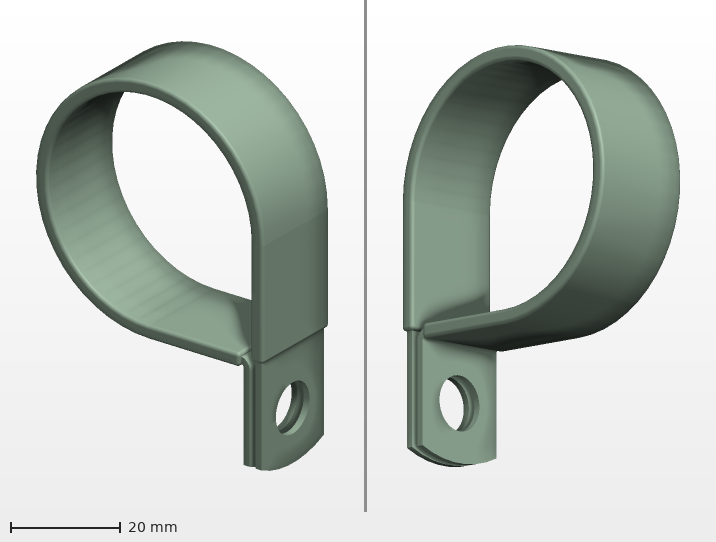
import cadquery as cq
import math

diagonal = math.sqrt(0.5)

strap_thickness = 1.3
cushion_wall = 0.7
cushion_width = 20.6
strap_width = cushion_width - 2 * cushion_wall
band_thickness = strap_thickness + 2 * cushion_wall

loop_outer_diameter = 51.6
loop_outer_radius = loop_outer_diameter / 2
loop_inner_radius = loop_outer_radius - band_thickness
strap_outer_radius = loop_outer_radius - cushion_wall
strap_inner_radius = strap_outer_radius - strap_thickness

cushion_end_x = 20.5
cushion_end_z = -23.85

overall_height = 73.4
tab_bottom_z = loop_outer_radius - overall_height
tab_gap = 1.4
bent_tab_outer_x = strap_inner_radius - tab_gap
bent_tab_inner_x = bent_tab_outer_x - strap_thickness
bend_inner_radius = 1.0
bend_outer_radius = bend_inner_radius + strap_thickness
tab_end_sagitta = 2.1
hole_diameter = 10.35
hole_z = -36.5
strap_overlap = 1.5


def extrude_across(sketch, width):
    """Extrude an XZ outline symmetrically about the Y = 0 plane."""
    return sketch.extrude(width / 2, both=True)


def make_cushioned_loop():
    """Three-quarter loop with two straight ends and rounded outside edges."""
    outline = (
        cq.Workplane("XZ")
        .moveTo(loop_outer_radius, cushion_end_z)
        .lineTo(loop_outer_radius, 0)
        .threePointArc((-loop_outer_radius * diagonal, loop_outer_radius * diagonal), (0, -loop_outer_radius))
        .lineTo(cushion_end_x, -loop_outer_radius)
        .lineTo(cushion_end_x, -loop_inner_radius)
        .lineTo(0, -loop_inner_radius)
        .threePointArc((-loop_inner_radius * diagonal, loop_inner_radius * diagonal), (loop_inner_radius, 0))
        .lineTo(loop_inner_radius, cushion_end_z)
        .close()
    )
    band = extrude_across(outline, cushion_width)
    side_edges = band.faces("<Y or >Y").edges()
    end_corners = band.edges("|Y").filter(is_end_corner)
    return side_edges.add(end_corners).fillet(cushion_wall)


def is_end_corner(edge):
    """True for the sharp corners of the two ends, false for the tangent seams."""
    center = edge.Center()
    at_bottom_end = abs(center.x - cushion_end_x) < cushion_wall / 2
    at_right_end = abs(center.z - cushion_end_z) < cushion_wall / 2
    return at_bottom_end or at_right_end


def make_straight_tab():
    """Strap leaving the vertical end of the cushion."""
    outline = (
        cq.Workplane("XZ")
        .moveTo(strap_inner_radius, cushion_end_z + strap_overlap)
        .lineTo(strap_outer_radius, cushion_end_z + strap_overlap)
        .lineTo(strap_outer_radius, tab_bottom_z)
        .lineTo(strap_inner_radius, tab_bottom_z)
        .close()
    )
    return extrude_across(outline, strap_width)


def make_bent_tab():
    """Strap leaving the horizontal end of the cushion and bending downwards."""
    start_x = cushion_end_x - strap_overlap
    bend_x = bent_tab_inner_x - bend_inner_radius
    bend_z = -strap_outer_radius - bend_inner_radius
    outer_mid = (bend_x + bend_outer_radius * diagonal, bend_z + bend_outer_radius * diagonal)
    inner_mid = (bend_x + bend_inner_radius * diagonal, bend_z + bend_inner_radius * diagonal)
    outline = (
        cq.Workplane("XZ")
        .moveTo(start_x, -strap_inner_radius)
        .lineTo(bend_x, -strap_inner_radius)
        .threePointArc(outer_mid, (bent_tab_outer_x, bend_z))
        .lineTo(bent_tab_outer_x, tab_bottom_z)
        .lineTo(bent_tab_inner_x, tab_bottom_z)
        .lineTo(bent_tab_inner_x, bend_z)
        .threePointArc(inner_mid, (bend_x, -strap_outer_radius))
        .lineTo(start_x, -strap_outer_radius)
        .close()
    )
    return extrude_across(outline, strap_width)


def make_tab_envelope():
    """Shape of the tabs along X: arched lower end and a through hole."""
    half_width = strap_width / 2
    shoulder_z = tab_bottom_z + tab_end_sagitta
    return (
        cq.Workplane("YZ")
        .moveTo(-half_width, 0)
        .lineTo(-half_width, shoulder_z)
        .threePointArc((0, tab_bottom_z), (half_width, shoulder_z))
        .lineTo(half_width, 0)
        .close()
        .moveTo(0, hole_z)
        .circle(hole_diameter / 2)
        .extrude(loop_outer_radius)
    )


tabs = make_straight_tab().union(make_bent_tab()).intersect(make_tab_envelope())
result = make_cushioned_loop().union(tabs)